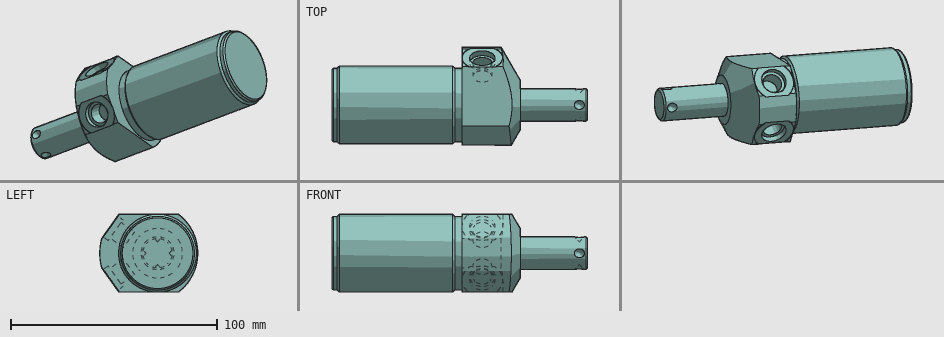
import cadquery as cq
import math

TOTAL_LENGTH = 124.08
HEAD_START = 63.2
HEAD_END = 91.4

BARREL_RADIUS = 18.925
NECK_RADIUS = 17.9
BARREL_START = 3.6
BARREL_END = 58.6
BARREL_CHAMFER = BARREL_RADIUS - NECK_RADIUS
END_CHAMFER = 0.75

FLAT_HEIGHT = BARREL_RADIUS
LOBE_RADIUS = 28.07
LOBE_HALF_WIDTH = 7.1
FLAT_END_Y = 18.75
BACK_Y = -19.55
FLAT_START_Y = -10.1
NOSE_RADIUS = 12.05
NOSE_HALF_ANGLE = 60.0

PORT_X = HEAD_START + 9.8
SPOTFACE_RADIUS = 9.85
SPOTFACE_DEPTH = 0.27
PORT_RADIUS = 6.15
PORT_DEPTH = 2.9
BORE_RADIUS = 4.65
BORE_DEPTH = 8.0

ROD_RADIUS = 8.0
ROD_CHAMFER = 0.9
DIMPLE_X = TOTAL_LENGTH - 4.0
DIMPLE_RADIUS = 2.45
DIMPLE_HALF_ANGLE = 45.0
DIMPLE_COUNT = 4

LOBE_EDGE_Y = math.sqrt(LOBE_RADIUS**2 - LOBE_HALF_WIDTH**2)


def revolve_about_axis(points):
    """Turn an (X, radius) outline about the cylinder axis."""
    outline = cq.Workplane("XY").polyline(points).close()
    return outline.revolve(360, (0, 0, 0), (1, 0, 0))


def make_barrel():
    """Stepped barrel with its chamfers, and the relief up to the head."""
    return revolve_about_axis([
        (0, 0),
        (0, NECK_RADIUS - END_CHAMFER),
        (END_CHAMFER, NECK_RADIUS),
        (BARREL_START - BARREL_CHAMFER, NECK_RADIUS),
        (BARREL_START, BARREL_RADIUS),
        (BARREL_END, BARREL_RADIUS),
        (BARREL_END + BARREL_CHAMFER, NECK_RADIUS),
        (HEAD_START, NECK_RADIUS),
        (HEAD_START, 0),
    ])


def make_head():
    """Head extruded along the axis, then trimmed by the conical nose."""
    head_length = HEAD_END - HEAD_START
    blank = (
        cq.Workplane("YZ", origin=(HEAD_START, 0, 0))
        .moveTo(FLAT_START_Y, FLAT_HEIGHT)
        .lineTo(FLAT_END_Y, FLAT_HEIGHT)
        .lineTo(LOBE_EDGE_Y, LOBE_HALF_WIDTH)
        .threePointArc((LOBE_RADIUS, 0), (LOBE_EDGE_Y, -LOBE_HALF_WIDTH))
        .lineTo(FLAT_END_Y, -FLAT_HEIGHT)
        .lineTo(FLAT_START_Y, -FLAT_HEIGHT)
        .threePointArc((BACK_Y, 0), (FLAT_START_Y, FLAT_HEIGHT))
        .close()
        .extrude(head_length)
    )
    cone_base_radius = NOSE_RADIUS + head_length * math.tan(math.radians(NOSE_HALF_ANGLE))
    nose_cone = revolve_about_axis([
        (HEAD_START, 0),
        (HEAD_START, cone_base_radius),
        (HEAD_END, NOSE_RADIUS),
        (HEAD_END, 0),
    ])
    return blank.intersect(nose_cone)


def make_rod():
    """Rod with a chamfered tip, running from the back of the head."""
    return revolve_about_axis([
        (HEAD_START, 0),
        (HEAD_START, ROD_RADIUS),
        (TOTAL_LENGTH - ROD_CHAMFER, ROD_RADIUS),
        (TOTAL_LENGTH, ROD_RADIUS - ROD_CHAMFER),
        (TOTAL_LENGTH, 0),
    ])


def make_port_cutter():
    """Spotface, port and bore, square to the upper slanted face at its middle."""
    face_rise = FLAT_HEIGHT - LOBE_HALF_WIDTH
    face_run = LOBE_EDGE_Y - FLAT_END_Y
    face_middle = cq.Vector(
        PORT_X,
        (LOBE_EDGE_Y + FLAT_END_Y) / 2,
        (FLAT_HEIGHT + LOBE_HALF_WIDTH) / 2,
    )
    inward = cq.Vector(0, -face_rise, -face_run).normalized()

    def drill(radius, depth):
        return cq.Workplane(obj=cq.Solid.makeCylinder(radius, depth, face_middle, inward))

    port_floor = SPOTFACE_DEPTH + PORT_DEPTH
    spotface = drill(SPOTFACE_RADIUS, SPOTFACE_DEPTH)
    port = drill(PORT_RADIUS, port_floor)
    bore = drill(BORE_RADIUS, port_floor + BORE_DEPTH)
    return spotface.union(port).union(bore)


def make_dimple_cutter(angle):
    """Conical dimple pointing at the axis, turned about X by the given angle."""
    depth = DIMPLE_RADIUS / math.tan(math.radians(DIMPLE_HALF_ANGLE))
    mouth = cq.Vector(DIMPLE_X, 0, ROD_RADIUS)
    cone = cq.Solid.makeCone(DIMPLE_RADIUS, 0, depth, mouth, cq.Vector(0, 0, -1))
    return cq.Workplane(obj=cone).rotate((0, 0, 0), (1, 0, 0), angle)


result = make_barrel().union(make_head()).union(make_rod())

upper_port = make_port_cutter()
result = result.cut(upper_port).cut(upper_port.mirror("XY"))

for index in range(DIMPLE_COUNT):
    result = result.cut(make_dimple_cutter(index * 360 / DIMPLE_COUNT))